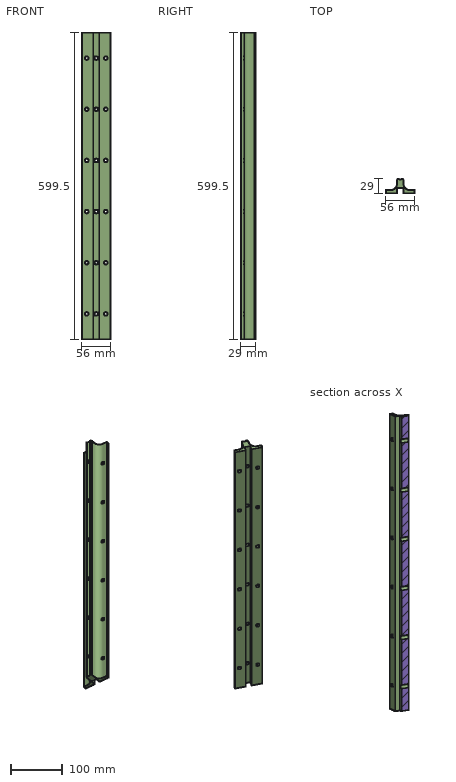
import cadquery as cq
import math

length = 599.5
width = 56.0
height = 29.0

flange_thickness = 6.5
web_half_width = 6.5
fillet_radius = 12.0
channel_half_width = 6.0
channel_depth = 10.0
chamfer_width = 1.5
chamfer_height = 3.0
cradle_half_width = 3.0
cradle_depth = 2.0

hole_rows = 6
hole_pitch = length / hole_rows
flange_hole_x = 18.5
flange_hole_diameter = 6.5
web_hole_diameter = 6.5

base_y = -height / 2
top_y = height / 2


def make_rail():
    """Extrude the flanged web with its cradle and concave side fillets."""
    half_width = width / 2
    flange_y = base_y + flange_thickness
    fillet_center_x = web_half_width + fillet_radius
    fillet_center_y = flange_y + fillet_radius
    diagonal = fillet_radius * math.sqrt(0.5)
    fillet_mid_x = fillet_center_x - diagonal
    fillet_mid_y = fillet_center_y - diagonal
    shoulder_y = top_y - chamfer_height
    tip_x = web_half_width - chamfer_width
    channel_y = base_y + channel_depth

    return (
        cq.Workplane("XY")
        .workplane(offset=-length / 2)
        .moveTo(channel_half_width, base_y)
        .lineTo(half_width, base_y)
        .lineTo(half_width, flange_y)
        .lineTo(fillet_center_x, flange_y)
        .threePointArc((fillet_mid_x, fillet_mid_y), (web_half_width, fillet_center_y))
        .lineTo(web_half_width, shoulder_y)
        .lineTo(tip_x, top_y)
        .lineTo(cradle_half_width, top_y)
        .threePointArc((0, top_y - cradle_depth), (-cradle_half_width, top_y))
        .lineTo(-tip_x, top_y)
        .lineTo(-web_half_width, shoulder_y)
        .lineTo(-web_half_width, fillet_center_y)
        .threePointArc((-fillet_mid_x, fillet_mid_y), (-fillet_center_x, flange_y))
        .lineTo(-half_width, flange_y)
        .lineTo(-half_width, base_y)
        .lineTo(-channel_half_width, base_y)
        .lineTo(-channel_half_width, channel_y)
        .lineTo(channel_half_width, channel_y)
        .close()
        .extrude(length)
    )


def make_hole_column(x, diameter):
    """Make the evenly spaced through-hole cutters at one X position."""
    first_z = -(hole_rows - 1) * hole_pitch / 2
    centers = [(x, first_z + row * hole_pitch) for row in range(hole_rows)]
    return (
        cq.Workplane("XZ")
        .pushPoints(centers)
        .circle(diameter / 2)
        .extrude(height, both=True)
    )


result = make_rail()
for x, diameter in (
    (-flange_hole_x, flange_hole_diameter),
    (0, web_hole_diameter),
    (flange_hole_x, flange_hole_diameter),
):
    result = result.cut(make_hole_column(x, diameter))